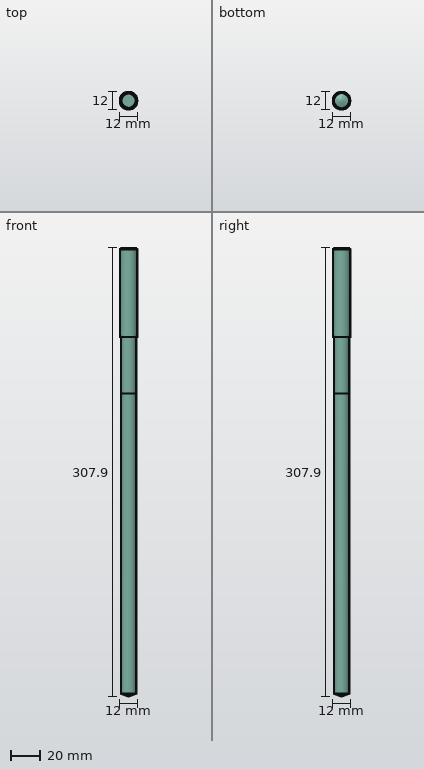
import cadquery as cq
import math

shank_diameter = 12.0
shank_length = 61.0
shank_chamfer = 1.0
drill_diameter = 10.6
total_length = 307.87
point_angle = 140.0
cutting_length = 208.0

shank_radius = shank_diameter / 2
drill_radius = drill_diameter / 2
point_height = drill_radius / math.tan(math.radians(point_angle / 2))
shank_bottom = total_length - shank_length


def revolve_about_z(profile_points):
    """Turn a closed (radius, height) profile into a solid about the Z axis."""
    return cq.Workplane("XZ").polyline(profile_points).close().revolve(360, (0, 0), (0, 1))


def make_cutting_part():
    """Cylindrical cutting length ending in a conical point."""
    return revolve_about_z([
        (0, 0),
        (drill_radius, point_height),
        (drill_radius, cutting_length),
        (0, cutting_length),
    ])


def make_shank():
    """Clamping shank, chamfered at its top end, with a neck of the drill diameter below it."""
    return revolve_about_z([
        (0, cutting_length),
        (drill_radius, cutting_length),
        (drill_radius, shank_bottom),
        (shank_radius, shank_bottom),
        (shank_radius, total_length - shank_chamfer),
        (shank_radius - shank_chamfer, total_length),
        (0, total_length),
    ])


cutting_part = make_cutting_part()
shank = make_shank()

result = cq.Compound.makeCompound([cutting_part.val(), shank.val()])